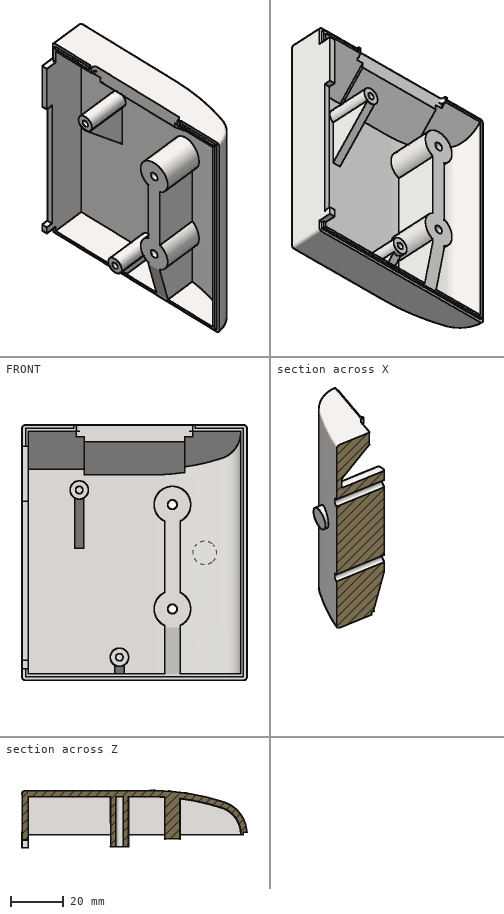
import math

import cadquery as cq


width = 86.34
height = 98.0
wall = 2.5
edge_radius = 1.5
total_depth = 22.13
rim_depth = total_depth - 6.0
flat_back_end = 49.3
back_arc_radius = 92.0
corner_arc_radius = 13.0

tongue_height = 1.0
tongue_inset = 1.4
tongue_depth = rim_depth + tongue_height

low_flange_depth = rim_depth + 3.0
high_flange_bottom = 68.7
high_flange_top = 89.7
tab_bottom = 4.5
tab_top = 7.7

window_width = 44.6
window_left = (width - window_width) / 2
window_depth = rim_depth - 1.0
window_fillet = 1.2
window_shoulder = 1.0
block_inset = 3.0
block_step = 2.1

post_depth = 21.7
small_post_radius = 3.5
small_post_bore = 1.4
upper_small_post = (22.0, 73.0)
lower_small_post = (37.4, 8.9)
small_rib_width = 3.6
upper_rib_start = 3.2
lower_rib_start = 1.5
large_post_radius = 7.0
large_post_bore = 1.75
large_post_x = 57.7
large_post_heights = (27.4, 67.4)
large_rib_width = 6.0

foot_x = 70.0
foot_radius = 4.5
foot_z = height / 2


def box(x_range, depth_range, z_range):
    """Box between two X values, two depths and two Z values."""
    (x0, x1), (d0, d1), (z0, z1) = x_range, depth_range, z_range
    return cq.Workplane("XY").box(x1 - x0, d1 - d0, z1 - z0, centered=False).translate((x0, -d1, z0))


def cylinder(x, z, radius, depth_from, depth_to):
    """Cylinder along Y between two depths."""
    disc = cq.Workplane("XZ", origin=(x, -depth_from, z)).circle(radius)
    return disc.extrude(depth_to - depth_from)


def side_prism(points, x_range):
    """Prism along X with an outline given as (depth, z) points."""
    outline = [(-depth, z) for depth, z in points]
    x0, x1 = x_range
    return cq.Workplane("YZ", origin=(x0, 0, 0)).polyline(outline).close().extrude(x1 - x0)


def profile_prism(inset, front_depth):
    """Solid under the shell's cross-section, inset on all sides and open at front_depth.

    The flat back runs into a wide arc and that into a tighter one, each tangent to the one
    before. Without an inset the tighter arc ends at the right-hand corner of the rim.
    """
    across = width - flat_back_end
    along = back_arc_radius - rim_depth
    reach = math.hypot(across, along)
    offset = back_arc_radius - corner_arc_radius
    cosine = (offset**2 + reach**2 - corner_arc_radius**2) / (2 * offset * reach)
    bend = math.atan2(across, along) - math.acos(cosine)

    corner_x = flat_back_end + offset * math.sin(bend)
    corner_y = -back_arc_radius + offset * math.cos(bend)
    end = math.atan2(width - corner_x, -rim_depth - corner_y)

    def on_back_arc(angle):
        radius = back_arc_radius - inset
        return (flat_back_end + radius * math.sin(angle), -back_arc_radius + radius * math.cos(angle))

    def on_corner_arc(angle):
        radius = corner_arc_radius - inset
        return (corner_x + radius * math.sin(angle), corner_y + radius * math.cos(angle))

    outline = (
        cq.Workplane("XY", origin=(0, 0, inset))
        .moveTo(inset, -front_depth)
        .lineTo(inset, -inset)
        .lineTo(*on_back_arc(0))
        .threePointArc(on_back_arc(bend / 2), on_back_arc(bend))
        .threePointArc(on_corner_arc((bend + end) / 2), on_corner_arc(end))
    )
    if front_depth > rim_depth:
        outline = outline.lineTo(on_corner_arc(end)[0], -front_depth)
    return outline.close().extrude(height - 2 * inset)


def rounded_body():
    """Solid outer body with every edge rounded except those on the rim."""
    body = profile_prism(0, rim_depth)
    back_corner = body.edges("|Z").edges("<X and >Y").vals()
    ends = body.faces("|Z").edges("not <Y").vals()
    return body.newObject(ends + back_corner).fillet(edge_radius)


def rim_walls():
    """Tongue around the rim and the stepped left side wall, both before hollowing."""
    raised = (rim_depth, tongue_depth)
    walls = box((tongue_inset, width - tongue_inset), raised, (tongue_inset, height - tongue_inset))
    shoulder_left = window_left - window_shoulder
    shoulder_x = (shoulder_left, width - shoulder_left)
    walls = walls.union(box(shoulder_x, raised, (height - wall, height)))
    for depth, bottom, top in (
        (low_flange_depth, tab_bottom, high_flange_top),
        (total_depth, tab_bottom, tab_top),
        (total_depth, high_flange_bottom, high_flange_top),
    ):
        walls = walls.union(box((0, wall), (rim_depth, depth), (bottom, top)))
    return walls


def sloping_block(x_range, drop):
    """Block under the top wall whose underside runs at 45 degrees from the rim to the back."""
    inner_top = height - wall
    edge_z = inner_top - drop
    outline = [(0, height), (0, edge_z - tongue_depth), (tongue_depth, edge_z), (tongue_depth, height)]
    return side_prism(outline, x_range)


def window_box(z_range):
    """Block as wide as the window, from the window's sill outwards."""
    return box((window_left, window_left + window_width), (window_depth, total_depth), z_range)


def wall_window():
    """Cutter for the opening through the top wall, with rounded sill corners."""
    return window_box((height - wall, height)).faces(">Y").edges("|Z").fillet(window_fillet)


def small_post(axis, rib_start):
    """Narrow post with a 45 degree rib that starts rib_start below its axis."""
    x, z = axis
    rib_x = (x - small_rib_width / 2, x + small_rib_width / 2)
    rib_top = z - rib_start
    rib = side_prism([(0, z), (post_depth, z), (post_depth, rib_top), (0, rib_top - post_depth)], rib_x)
    return rib.union(cylinder(x, z, small_post_radius, 0, post_depth))


def large_posts():
    """Pair of wide posts joined by a rib that slopes down to the bottom wall."""
    low_z, high_z = large_post_heights
    rib_x = (large_post_x - large_rib_width / 2, large_post_x + large_rib_width / 2)
    rib_outline = [
        (0, 0),
        (0, high_z),
        (post_depth, high_z),
        (post_depth, low_z - large_post_radius),
        (tongue_depth, wall),
        (tongue_depth, 0),
    ]
    posts = side_prism(rib_outline, rib_x)
    for z in large_post_heights:
        posts = posts.union(cylinder(large_post_x, z, large_post_radius, 0, post_depth))
    return posts


def interior():
    """Everything standing inside the shell, trimmed to the cavity."""
    block_x = (window_left + block_inset, width - window_left - block_inset)
    blocks = sloping_block((0, width), 0).union(sloping_block(block_x, block_step))
    blocks = blocks.cut(window_box((height / 2, height - wall)))

    parts = blocks.union(small_post(upper_small_post, upper_rib_start))
    parts = parts.union(small_post(lower_small_post, lower_rib_start)).union(large_posts())
    return parts.intersect(profile_prism(wall, total_depth))


def bores():
    """Blind bores of the narrow posts and through bores of the wide ones."""
    holes = cylinder(*upper_small_post, small_post_bore, wall, total_depth)
    holes = holes.union(cylinder(*lower_small_post, small_post_bore, wall, total_depth))
    for z in large_post_heights:
        holes = holes.union(cylinder(large_post_x, z, large_post_bore, 0, total_depth))
    return holes


foot = cylinder(foot_x, foot_z, foot_radius, 0, rim_depth)
shell = rounded_body().union(rim_walls()).union(foot)
shell = shell.cut(profile_prism(wall, total_depth)).cut(wall_window())
result = shell.union(interior()).cut(bores()).solids()